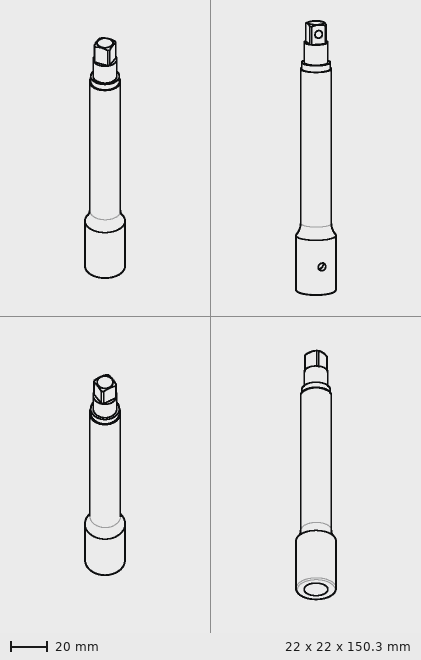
import cadquery as cq
import math

length = 150.3

drive_width = 9.5
drive_height = 11.0
drive_edge_chamfer = 0.9
tip_radius = 4.4
tip_angle = 25.0

core_radius = 6.5
drive_base_z = length - drive_height

collar_radius = 7.8
collar_top_z = 128.0
barrel_radius = 8.4
barrel_top_z = 124.5
socket_radius = 11.0
socket_top_z = 31.0
flare_height = 6.9
bottom_fillet = 0.8
detent_hole_diameter = 4.2
detent_hole_z = 16.0

ball_radius = 2.1
ball_y = 4.5
ball_z = length - 5.4


def make_ball():
    return cq.Workplane("XY").sphere(ball_radius).translate((0, ball_y, ball_z))


def make_drive_tip_cone():
    """Turned envelope that trims the corners of the square at its free end."""
    outer_radius = drive_width
    cone_drop = (outer_radius - tip_radius) * math.tan(math.radians(tip_angle))
    return (
        cq.Workplane("XZ")
        .moveTo(0, drive_base_z)
        .lineTo(outer_radius, drive_base_z)
        .lineTo(outer_radius, length - cone_drop)
        .lineTo(tip_radius, length)
        .lineTo(0, length)
        .close()
        .revolve(360, (0, 0), (0, 1))
    )


def make_core():
    """Round rod with a square drive, recessed for the detent ball."""
    drive = (
        cq.Workplane("XY")
        .workplane(offset=drive_base_z)
        .rect(drive_width, drive_width)
        .extrude(drive_height)
        .edges("|Z")
        .chamfer(drive_edge_chamfer)
        .intersect(make_drive_tip_cone())
    )
    rod = cq.Workplane("XY").circle(core_radius).extrude(drive_base_z)
    return rod.union(drive).cut(make_ball())


def make_sleeve():
    """Flared tube with a thin collar on top and a detent hole on the +Y side."""
    flare_step = socket_radius - barrel_radius
    flare_top_z = socket_top_z + flare_height
    flare_radius = (flare_step**2 + flare_height**2) / (2 * flare_step)
    half_sweep = math.asin(flare_height / flare_radius) / 2
    flare_middle = (
        barrel_radius + flare_radius * (1 - math.cos(half_sweep)),
        flare_top_z - flare_radius * math.sin(half_sweep),
    )
    sleeve = (
        cq.Workplane("XZ")
        .moveTo(core_radius, 0)
        .lineTo(socket_radius, 0)
        .lineTo(socket_radius, socket_top_z)
        .threePointArc(flare_middle, (barrel_radius, flare_top_z))
        .lineTo(barrel_radius, barrel_top_z)
        .lineTo(collar_radius, barrel_top_z)
        .lineTo(collar_radius, collar_top_z)
        .lineTo(core_radius, collar_top_z)
        .close()
        .revolve(360, (0, 0), (0, 1))
    )
    sleeve = sleeve.faces("<Z").edges(cq.selectors.RadiusNthSelector(-1)).fillet(bottom_fillet)
    detent_hole = (
        cq.Workplane("XZ")
        .center(0, detent_hole_z)
        .circle(detent_hole_diameter / 2)
        .extrude(-2 * socket_radius)
    )
    return sleeve.cut(detent_hole)


core = make_core()
sleeve = make_sleeve()
ball = make_ball()

result = cq.Compound.makeCompound([core.solids().val(), sleeve.solids().val(), ball.val()])